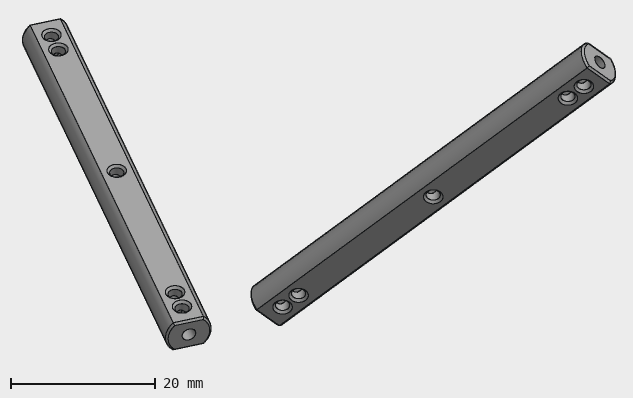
import cadquery as cq

length = 65.6
bar_diameter = 6.6
thickness_across_flats = 5.0
end_chamfer = 0.3

bore_diameter = 2.0

hole_diameter = 2.0
hole_mouth_diameter = 2.7
outer_hole_offset = 29.65
inner_hole_offset = 26.5
hole_offsets = [-outer_hole_offset, -inner_hole_offset, 0.0, inner_hole_offset, outer_hole_offset]


def flatted_bar():
    """Round bar trimmed to the flats, with every end edge chamfered."""
    round_bar = cq.Workplane("YZ").circle(bar_diameter / 2).extrude(length / 2, both=True)
    flats = cq.Workplane("XY").box(length, bar_diameter, thickness_across_flats)
    return round_bar.intersect(flats).faces("<X or >X").chamfer(end_chamfer)


def axial_bore():
    return cq.Workplane("YZ").circle(bore_diameter / 2).extrude(length / 2, both=True)


def cross_hole(x):
    """Through hole with a 45 degree countersink on both flats."""
    half_thickness = thickness_across_flats / 2
    hole_radius = hole_diameter / 2
    mouth_radius = hole_mouth_diameter / 2
    sink_depth = mouth_radius - hole_radius
    half_profile = [
        (0, -half_thickness),
        (mouth_radius, -half_thickness),
        (hole_radius, -half_thickness + sink_depth),
        (hole_radius, half_thickness - sink_depth),
        (mouth_radius, half_thickness),
        (0, half_thickness),
    ]
    cutter = cq.Workplane("XZ").polyline(half_profile).close().revolve(360, (0, 0), (0, 1))
    return cutter.translate((x, 0, 0))


result = flatted_bar().cut(axial_bore())
for hole_x in hole_offsets:
    result = result.cut(cross_hole(hole_x))